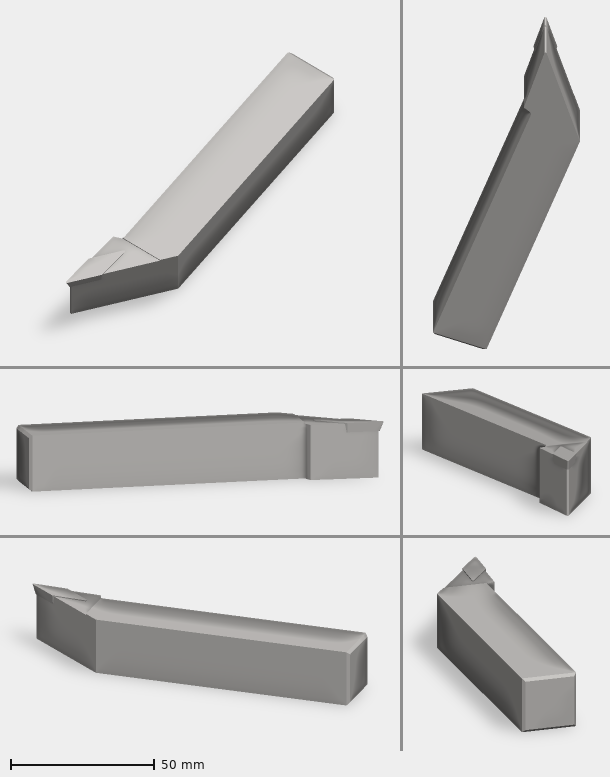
import cadquery as cq
import math

LENGTH = 126.2
WIDTH = 25.2
SHANK_SIZE = 20.0
END_CHAMFER = 1.0
SHANK_LEFT = WIDTH - SHANK_SIZE

HEAD_START_Y = 27.1
HEAD_DROP = 0.4
HEAD_CORNER_X = 1.9
SHOULDER_ANGLE = 20.0
SHOULDER_FILLET = 1.3
RELIEF_START_Y = 32.3
HOLDER_NOSE_RADIUS = 0.44
HEAD_CORNER_RADIUS = 0.5

POINT_ANGLE = 35.0
LEAD_ANGLE = 3.0
INSERT_EDGE = 13.9
INSERT_THICKNESS = 3.4
CLEARANCE_ANGLE = 7.0
INSERT_NOSE_RADIUS = 0.4
STUD_DIAMETER = 3.4

FLANK_ANGLE = LEAD_ANGLE + POINT_ANGLE
AXIS_ANGLE = LEAD_ANGLE + POINT_ANGLE / 2
SEAT_Z = SHANK_SIZE - INSERT_THICKNESS

HALF_POINT = math.radians(POINT_ANGLE / 2)


def make_insert_blank():
    """Insert without its hole: a rhombus narrowing downward, with rounded acute corners."""
    half_long = INSERT_EDGE * math.cos(HALF_POINT)
    half_short = INSERT_EDGE * math.sin(HALF_POINT)
    blank = (
        cq.Workplane("XY")
        .polyline([(0, half_long), (half_short, 0), (0, -half_long), (-half_short, 0)])
        .close()
        .extrude(-INSERT_THICKNESS, taper=CLEARANCE_ANGLE)
    )
    for nose in (">Y", "<Y"):
        blank = blank.edges("not(#Z)").edges(nose).fillet(INSERT_NOSE_RADIUS)
    blank = blank.rotate((0, 0, 0), (0, 0, 1), -AXIS_ANGLE)
    extent = blank.val().BoundingBox()
    return blank.translate((-extent.xmin, -extent.ymin, SHANK_SIZE))


def make_stud(insert_blank):
    """Upright stud on the insert centre, from the seat to the insert top."""
    centre = insert_blank.val().BoundingBox().center
    return (
        cq.Workplane("XY", origin=(centre.x, centre.y, SEAT_Z))
        .circle(STUD_DIAMETER / 2)
        .extrude(INSERT_THICKNESS)
    )


def make_shank():
    """Square bar with a chamfered rear end."""
    return (
        cq.Workplane("XY")
        .rect(SHANK_SIZE, LENGTH - HEAD_START_Y)
        .extrude(SHANK_SIZE)
        .translate((SHANK_LEFT + SHANK_SIZE / 2, (LENGTH + HEAD_START_Y) / 2, 0))
        .faces(">Y").edges().chamfer(END_CHAMFER)
    )


def make_head():
    """Head running forward from the relief start to the rounded holder nose."""
    lead_slope = math.tan(math.radians(LEAD_ANGLE))
    flank_slope = math.tan(math.radians(FLANK_ANGLE))
    corner_drop = (SHANK_LEFT - HEAD_CORNER_X) * math.tan(math.radians(SHOULDER_ANGLE))
    corner_y = HEAD_START_Y - corner_drop

    left_at_zero = HEAD_CORNER_X - corner_y * lead_slope
    flank_at_zero = WIDTH - RELIEF_START_Y * flank_slope
    nose_y = (left_at_zero - flank_at_zero) / (flank_slope - lead_slope)
    nose_x = left_at_zero + nose_y * lead_slope

    head = (
        cq.Workplane("XY")
        .polyline([
            (SHANK_LEFT, RELIEF_START_Y),
            (SHANK_LEFT, HEAD_START_Y),
            (HEAD_CORNER_X, corner_y),
            (nose_x, nose_y),
            (WIDTH, RELIEF_START_Y),
        ])
        .close()
        .extrude(SHANK_SIZE)
    )
    head = head.edges("|Z").edges("<Y").fillet(HOLDER_NOSE_RADIUS)
    corner_edge = cq.selectors.NearestToPointSelector((HEAD_CORNER_X, corner_y, SHANK_SIZE / 2))
    head = head.edges("|Z").edges(corner_edge).fillet(HEAD_CORNER_RADIUS)
    shoulder_edge = cq.selectors.NearestToPointSelector((SHANK_LEFT, HEAD_START_Y, SHANK_SIZE / 2))
    return head.edges("|Z").edges(shoulder_edge).fillet(SHOULDER_FILLET)


def make_holder(insert_blank, stud):
    """Shank and head in one piece, with the insert pocket and its stud."""
    front_trim = cq.Workplane("XY").box(WIDTH, RELIEF_START_Y, SHANK_SIZE, centered=False)
    holder = make_shank().cut(front_trim).union(make_head())
    lowered_top = (
        cq.Workplane("XY", origin=(0, 0, SHANK_SIZE - HEAD_DROP))
        .rect(WIDTH, HEAD_START_Y, centered=False)
        .extrude(HEAD_DROP)
    )
    return holder.cut(lowered_top).cut(insert_blank).union(stud)


def make_insert(insert_blank, stud):
    """Insert with a hole around the stud."""
    return insert_blank.cut(stud)


insert_blank = make_insert_blank()
stud = make_stud(insert_blank)
holder = make_holder(insert_blank, stud)
insert = make_insert(insert_blank, stud)

result = cq.Compound.makeCompound([holder.val(), insert.val()])